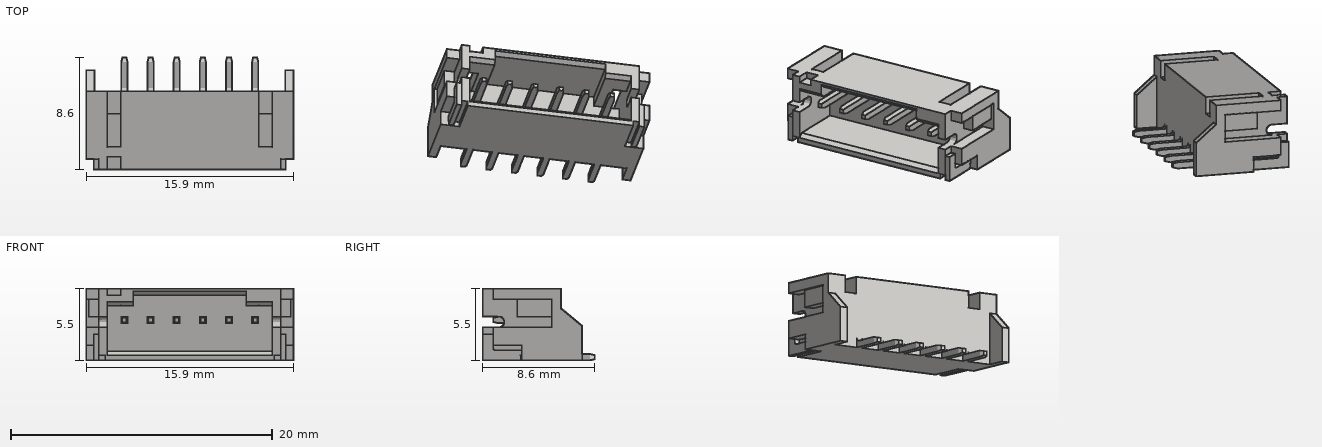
import cadquery as cq


width = 15.9
height = 5.5
depth = 6.01
flange_depth = 0.99
flange_setback = 0.81
socket_width = width - 2 * flange_depth

wing_thickness = 0.65
wing_rear = 7.62
wing_rear_height = 2.65
wing_slope_top = 3.99

wall = 0.64
cavity_width = socket_width - 2 * wall
cavity_depth = 4.28
floor_thickness = 0.7
cavity_ceiling = 4.2
raised_width = 8.67
raised_ceiling = 5.01
lead_in = 0.3

opening_width = 1.03
opening_x_range = (-cavity_width / 2, -cavity_width / 2 + opening_width)
roof_slot_front = 1.75
key_notch_length = 1.0
key_notch_depth = 0.5

window_rear = 5.3
window_floor = 2.55
window_ceiling = 4.69
block_front = 2.64
block_bottom = 3.35
block_inset = 0.2
wall_slot_length = 1.65
wall_slot_bottom = window_floor
wall_slot_top = block_bottom

tab_thickness = 0.4
tab_rear = 3.0
tab_plate_height = 0.78
tab_post_height = 2.0
tab_inner_radius = 0.16
tab_relief_length = 0.1
tab_relief_height = 0.4
recess_ceiling = 1.18
foot_notch_width = 0.48
foot_notch_height = 0.4

contact_count = 6
pitch = 2.0
contact_size = 0.5
contact_tip_size = 0.32
contact_center_z = 3.1
contact_front = 0.81
contact_front_taper = 0.35
tail_rear = 8.6
tail_rear_taper = 0.37
tail_root_radius = 0.24


def box(x_range, y_range, z_range):
    """Box between the given pairs of X, Y and Z limits."""
    (x0, x1), (y0, y1), (z0, z1) = x_range, y_range, z_range
    return cq.Workplane("XY").box(x1 - x0, y1 - y0, z1 - z0, centered=False).translate((x0, y0, z0))


def side_profile(points, x_start, thickness):
    """Closed (Y, Z) polygon extruded along +X from x_start."""
    return cq.Workplane("YZ", origin=(x_start, 0, 0)).polyline(points).close().extrude(thickness)


def both_ends(feature):
    """The left-hand feature together with its mirror image."""
    return feature.union(feature.mirror("YZ"))


left_face = -width / 2
left_wall = -socket_width / 2


def make_shell():
    """Socket block with side flanges and rear wings."""
    socket = box((left_wall, -left_wall), (0, depth), (0, height))
    flanges = box((left_face, -left_face), (flange_setback, depth), (0, height))
    wing_outline = [
        (cavity_depth, 0),
        (wing_rear, 0),
        (wing_rear, wing_rear_height),
        (depth, wing_slope_top),
        (cavity_depth, wing_slope_top),
    ]
    wing = side_profile(wing_outline, left_face, wing_thickness)
    return socket.union(flanges).union(both_ends(wing))


def make_cavity_part(part_width, ceiling):
    """Cavity volume of one width, flared at the mouth along its floor and ceiling."""
    outline = [
        (0, floor_thickness - lead_in),
        (lead_in, floor_thickness),
        (cavity_depth, floor_thickness),
        (cavity_depth, ceiling),
        (lead_in, ceiling),
        (0, ceiling + lead_in),
    ]
    return side_profile(outline, -part_width / 2, part_width)


def make_roof_slot():
    """Slot in the roof, open to the rear, that breaks into the cavity."""
    return box(opening_x_range, (roof_slot_front, depth), (cavity_ceiling, height))


def make_key_notch():
    """Notch at the front left of the roof that marks the first contact."""
    return box(opening_x_range, (0, key_notch_length), (height - key_notch_depth, height))


def make_window():
    """Side window between the flanges, leaving a latch block standing in it."""
    window = box((left_face, left_wall), (flange_setback, window_rear), (window_floor, window_ceiling))
    block = box((left_face + block_inset, left_wall), (block_front, window_rear),
                (block_bottom, window_ceiling))
    return window.cut(block)


def make_wall_slot():
    """Slot through the socket wall, open at the mating face, with a round inner end."""
    radius = (wall_slot_top - wall_slot_bottom) / 2
    straight_end = wall_slot_length - radius
    return (
        cq.Workplane("YZ", origin=(left_wall, 0, 0))
        .moveTo(0, wall_slot_bottom)
        .lineTo(straight_end, wall_slot_bottom)
        .threePointArc((wall_slot_length, wall_slot_bottom + radius), (straight_end, wall_slot_top))
        .lineTo(0, wall_slot_top)
        .close()
        .extrude(wall)
    )


def make_tab_recess():
    """Recess under the lower flange for the solder tab, with a notch under the socket wall."""
    recess = box((left_face, left_wall), (flange_setback, tab_rear), (0, recess_ceiling))
    notch = box((left_wall, left_wall + foot_notch_width), (0, tab_rear), (0, foot_notch_height))
    return recess.union(notch)


def tapered_end(y, z, length):
    """Square pyramid stump from full contact size at y to tip size at y + length."""
    normal = 1 if length > 0 else -1
    plane = cq.Plane(origin=(0, y, z), xDir=(1, 0, 0), normal=(0, normal, 0))
    return (
        cq.Workplane(plane)
        .rect(contact_size, contact_size)
        .workplane(offset=abs(length))
        .rect(contact_tip_size, contact_tip_size)
        .loft(ruled=True)
    )


def make_contact_pin():
    """Mating pin that stands out of the rear wall of the cavity."""
    half = contact_size / 2
    shaft_front = contact_front + contact_front_taper
    shaft = box((-half, half), (shaft_front, depth), (contact_center_z - half, contact_center_z + half))
    return shaft.union(tapered_end(shaft_front, contact_center_z, -contact_front_taper))


def make_contact_tail():
    """Solder tail on the board plane, curving up into the rear wall at its root."""
    half = contact_size / 2
    shaft_rear = tail_rear - tail_rear_taper
    root_rear = depth + tail_root_radius
    root_top = contact_size + tail_root_radius
    root_mid_offset = tail_root_radius * (1 - 0.5 ** 0.5)
    shaft = (
        cq.Workplane("YZ", origin=(-half, 0, 0))
        .moveTo(cavity_depth, 0)
        .lineTo(shaft_rear, 0)
        .lineTo(shaft_rear, contact_size)
        .lineTo(root_rear, contact_size)
        .threePointArc((depth + root_mid_offset, contact_size + root_mid_offset), (depth, root_top))
        .lineTo(cavity_depth, root_top)
        .close()
        .extrude(contact_size)
    )
    return shaft.union(tapered_end(shaft_rear, half, tail_rear_taper))


def make_housing():
    """Connector housing with its row of contacts fixed in the rear wall."""
    body = (
        make_shell()
        .cut(make_cavity_part(cavity_width, cavity_ceiling))
        .cut(make_cavity_part(raised_width, raised_ceiling))
        .cut(both_ends(make_roof_slot()))
        .cut(make_key_notch())
        .cut(both_ends(make_window()))
        .cut(both_ends(make_wall_slot()))
        .cut(both_ends(make_tab_recess()))
    )
    contact_pin = make_contact_pin()
    contact_tail = make_contact_tail()
    for index in range(contact_count):
        x = (index - (contact_count - 1) / 2) * pitch
        body = body.union(contact_pin.translate((x, 0, 0))).union(contact_tail.translate((x, 0, 0)))
    return body


def make_solder_tab(x_start):
    """L-shaped upright plate with a front post and a small relief at its lower rear corner."""
    outline = [
        (0, 0),
        (tab_rear - tab_relief_length, 0),
        (tab_rear - tab_relief_length, tab_relief_height),
        (tab_rear, tab_relief_height),
        (tab_rear, tab_plate_height),
        (flange_setback, tab_plate_height),
        (flange_setback, tab_post_height),
        (0, tab_post_height),
    ]
    plate = side_profile(outline, x_start, tab_thickness)
    inner_corner = cq.selectors.NearestToPointSelector(
        (x_start + tab_thickness / 2, flange_setback, tab_plate_height)
    )
    return plate.edges(inner_corner).fillet(tab_inner_radius)


housing = make_housing()
solder_tabs = [make_solder_tab(x) for x in (left_wall - tab_thickness, -left_wall)]

result = cq.Compound.makeCompound([housing.val(), *[tab.val() for tab in solder_tabs]])